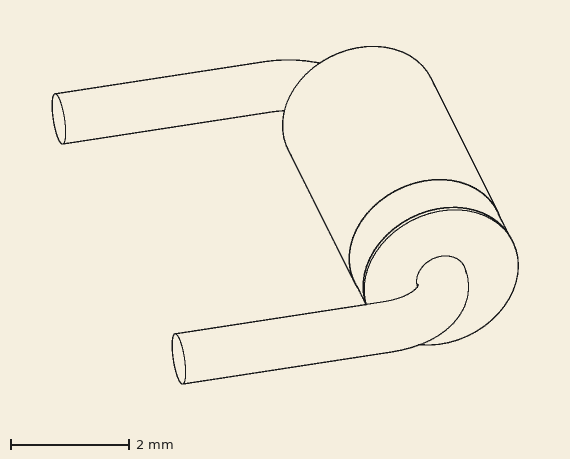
import cadquery as cq

span = 8.48
lead_diameter = 0.865
body_diameter = 2.71
body_length = 5.19
band_length = 0.88
band_diameter = 2.7
rim_length = 0.085
cutter_margin = 0.085
bend_radius = 1.27
lead_drop = 4.95

half_body = body_length / 2
lead_x = (span - lead_diameter) / 2
bend_start_x = lead_x - bend_radius


def make_body():
    """Cylinder with a shallow groove all round, leaving a thin full-size rim at the +X end."""
    body = cq.Workplane("YZ", origin=(-half_body, 0, 0)).circle(body_diameter / 2).extrude(body_length)
    band_start_x = half_body - rim_length - band_length
    groove = (
        cq.Workplane("YZ", origin=(band_start_x, 0, 0))
        .circle(body_diameter / 2 + cutter_margin)
        .circle(band_diameter / 2)
        .extrude(band_length)
    )
    return body.cut(groove)


def make_lead():
    """Round wire leaving the body along +X and bending a quarter turn to -Y."""
    path = (
        cq.Workplane("XY")
        .lineTo(bend_start_x, 0)
        .radiusArc((lead_x, -bend_radius), bend_radius)
        .lineTo(lead_x, -lead_drop)
    )
    return cq.Workplane("YZ").circle(lead_diameter / 2).sweep(path)


lead = make_lead()
result = make_body().union(lead).union(lead.mirror("YZ"))